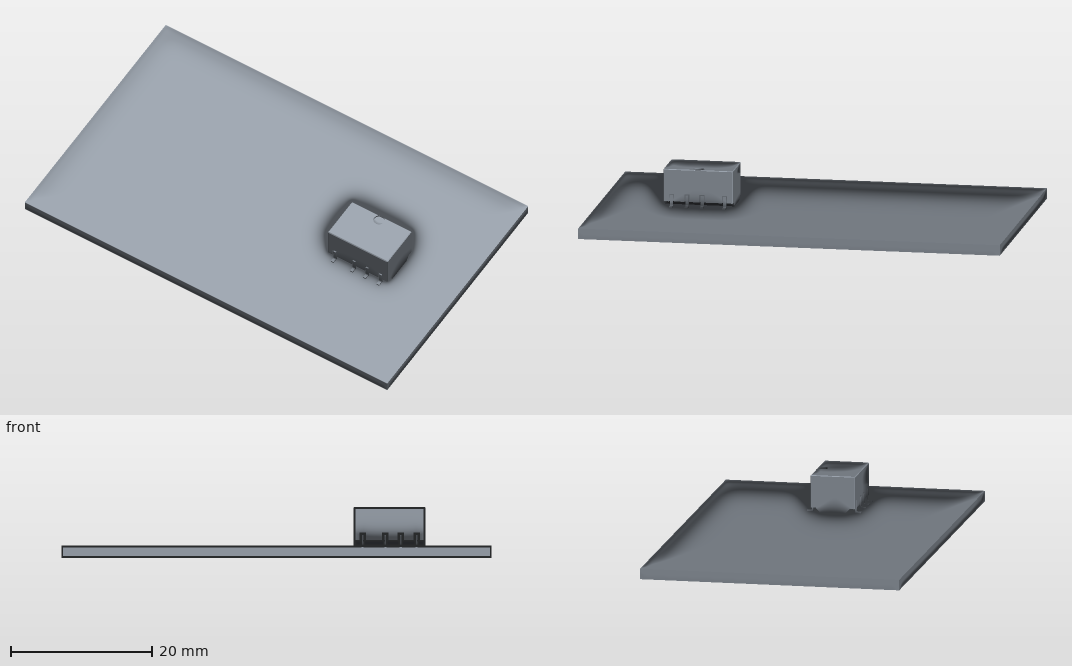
import cadquery as cq

BOARD_LENGTH = 60.7
BOARD_WIDTH = 37.45
BOARD_THICKNESS = 1.5

TOTAL_HEIGHT = 7.0
RELAY_X = 16.0
RELAY_Y = -0.65
HOUSING_LENGTH = 10.0
HOUSING_WIDTH = 6.45
EDGE_CHAMFER = 0.1
STANDOFF = 0.1
SIDE_WALL_CLEARANCE = 0.8
BASE_WIDTH = 3.7
BASE_SLOPE_RUN = 0.6

MARK_RADIUS = 0.8
MARK_INSET = 0.7
MARK_DEPTH = 0.25

LEAD_OFFSETS = (-3.8, -0.6, 1.6, 3.8)
LEAD_WIDTH = 0.45
LEAD_THICKNESS = 0.2
LEAD_HEIGHT = 1.7
LEAD_BEND = 0.2
LEAD_SPAN = 7.8
SLOT_WIDTH = 0.7
SLOT_HEIGHT = 1.9

HALF_WIDTH = HOUSING_WIDTH / 2
HOUSING_HEIGHT = TOTAL_HEIGHT - BOARD_THICKNESS
SIDES = (-1, 1)


def make_board():
    return cq.Workplane("XY").box(
        BOARD_LENGTH, BOARD_WIDTH, BOARD_THICKNESS, centered=(True, True, False)
    )


def make_housing():
    """Chamfered block with a raised underside along both long sides; the board top is Z = 0."""
    block = (
        cq.Workplane("XY")
        .box(HOUSING_LENGTH, HOUSING_WIDTH, HOUSING_HEIGHT - STANDOFF, centered=(True, True, False))
        .translate((0, 0, STANDOFF))
        .edges("|Z or >Z")
        .chamfer(EDGE_CHAMFER)
    )
    for side in SIDES:
        undercut = (
            cq.Workplane("YZ")
            .moveTo(side * BASE_WIDTH / 2, STANDOFF)
            .lineTo(side * (BASE_WIDTH / 2 + BASE_SLOPE_RUN), SIDE_WALL_CLEARANCE)
            .lineTo(side * HALF_WIDTH, SIDE_WALL_CLEARANCE)
            .lineTo(side * HALF_WIDTH, STANDOFF)
            .close()
            .extrude(HOUSING_LENGTH / 2, both=True)
        )
        block = block.cut(undercut)
    return block


def make_mark():
    """Shallow round recess breaking through the +Y edge of the top face."""
    centre = (0, HALF_WIDTH - MARK_INSET, HOUSING_HEIGHT - MARK_DEPTH)
    return (
        cq.Workplane("XY", origin=centre)
        .circle(MARK_RADIUS)
        .extrude(MARK_DEPTH)
    )


def make_lead_slot(x, side):
    return (
        cq.Workplane("XY")
        .box(SLOT_WIDTH, LEAD_THICKNESS, SLOT_HEIGHT, centered=(True, True, False))
        .translate((x, side * (HALF_WIDTH - LEAD_THICKNESS / 2), 0))
    )


def make_lead(x, side):
    """L-shaped lead: a shank flush with the housing side, bent into a foot pointing outwards."""
    return (
        cq.Workplane("YZ", origin=(x, 0, 0))
        .moveTo(side * (HALF_WIDTH - LEAD_THICKNESS), 0)
        .lineTo(side * LEAD_SPAN / 2, 0)
        .lineTo(side * LEAD_SPAN / 2, LEAD_THICKNESS)
        .lineTo(side * (HALF_WIDTH + LEAD_BEND), LEAD_THICKNESS)
        .tangentArcPoint((side * HALF_WIDTH, LEAD_THICKNESS + LEAD_BEND), relative=False)
        .lineTo(side * HALF_WIDTH, LEAD_HEIGHT)
        .lineTo(side * (HALF_WIDTH - LEAD_THICKNESS), LEAD_HEIGHT)
        .close()
        .extrude(LEAD_WIDTH / 2, both=True)
    )


def make_relay():
    relay = make_housing().cut(make_mark())
    for x in LEAD_OFFSETS:
        for side in SIDES:
            relay = relay.cut(make_lead_slot(x, side)).union(make_lead(x, side))
    return relay.translate((RELAY_X, RELAY_Y, BOARD_THICKNESS))


board = make_board()
relay = make_relay()

result = cq.Compound.makeCompound([board.val(), relay.val()])